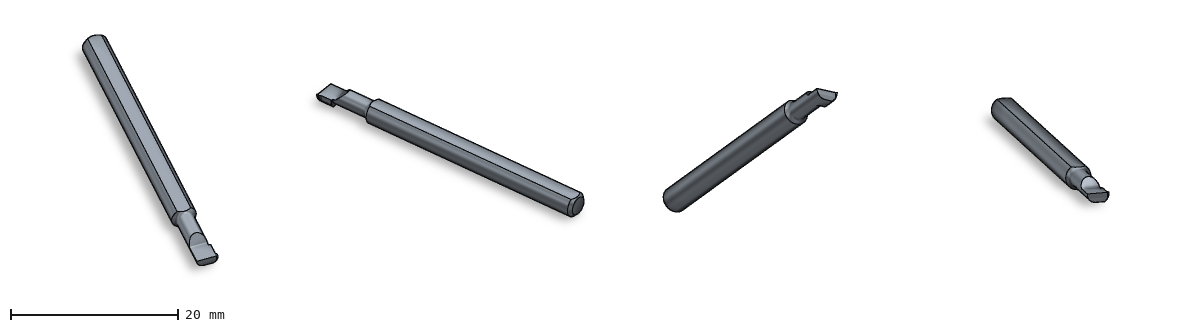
import cadquery as cq
import math

length = 38.1
shank_diameter = 3.15
shank_radius = shank_diameter / 2
height = 2.9
flat_height = height - shank_radius

shank_end = 30.65
back_chamfer = 0.42
neck_radius = 1.15
shoulder_radius = 0.6

rake_height = 0.05
rake_start = 35.62
rake_blend_radius = 0.57
head_start = 35.93
head_side = 1.4
head_step_chamfer = 0.08
tooth_length = 0.55
tooth_tip = 1.55
end_setback = 0.1
tip_width = 0.15
end_relief_angle = 10.0


def make_turned_body():
    """Chamfered shank, 45 degree shoulder blended into the neck, revolved about X."""
    diagonal = math.sqrt(0.5)
    arc_drop = shoulder_radius * (1 - diagonal)
    cone_drop = shank_radius - neck_radius - arc_drop
    cone_end = shank_end + cone_drop
    neck_start = cone_end + shoulder_radius * diagonal
    arc_center_height = neck_radius + shoulder_radius
    half_angle = math.radians(22.5)
    arc_middle = (
        neck_start - shoulder_radius * math.sin(half_angle),
        arc_center_height - shoulder_radius * math.cos(half_angle),
    )
    return (
        cq.Workplane("XZ")
        .moveTo(0, 0)
        .lineTo(0, shank_radius - back_chamfer)
        .lineTo(back_chamfer, shank_radius)
        .lineTo(shank_end, shank_radius)
        .lineTo(cone_end, neck_radius + arc_drop)
        .threePointArc(arc_middle, (neck_start, neck_radius))
        .lineTo(length, neck_radius)
        .lineTo(length, 0)
        .close()
        .revolve(360, (0, 0, 0), (1, 0, 0))
    )


def make_head():
    """Side-cutting head, kept inside the shank diameter and above the neck's underside."""
    outline = (
        cq.Workplane("XY", origin=(0, 0, -neck_radius))
        .moveTo(head_start, 0)
        .lineTo(head_start, head_side - head_step_chamfer)
        .lineTo(head_start + head_step_chamfer, head_side)
        .lineTo(length - tooth_length, head_side)
        .lineTo(length - tooth_length + tip_width, tooth_tip)
        .lineTo(length, tooth_tip)
        .lineTo(length, 0)
        .close()
        .extrude(neck_radius + rake_height)
    )
    envelope = cq.Workplane("YZ").circle(shank_radius).extrude(length)
    return outline.intersect(envelope)


def make_shank_flat_cut():
    """Material above the flat along the shank."""
    return cq.Workplane("XY", origin=(0, 0, flat_height)).rect(2 * length, 2 * height).extrude(height)


def make_rake_cut():
    """Material above the rake face, with a rounded 45 degree run-out toward the neck."""
    return (
        cq.Workplane("XZ")
        .moveTo(rake_start, rake_height)
        .lineTo(rake_start - height, rake_height + height)
        .lineTo(length + height, rake_height + height)
        .lineTo(length + height, rake_height)
        .close()
        .extrude(height, both=True)
        .edges(cq.selectors.NearestToPointSelector((rake_start, 0, rake_height)))
        .fillet(rake_blend_radius)
    )


def make_end_relief_cut():
    """Front face leaning back below the rake face."""
    setback = height * math.tan(math.radians(end_relief_angle))
    return (
        cq.Workplane("XZ")
        .moveTo(length, rake_height)
        .lineTo(length - setback, rake_height - height)
        .lineTo(length + height, rake_height - height)
        .lineTo(length + height, rake_height)
        .close()
        .extrude(height, both=True)
    )


def make_tip_trail_cut():
    """Front face falling away from the cutting tip in plan."""
    return (
        cq.Workplane("XY")
        .moveTo(length, tooth_tip)
        .lineTo(length - end_setback, tooth_tip - tip_width)
        .lineTo(length - end_setback, -height)
        .lineTo(length + height, -height)
        .lineTo(length + height, tooth_tip)
        .close()
        .extrude(height, both=True)
    )


result = (
    make_turned_body()
    .union(make_head())
    .cut(make_shank_flat_cut())
    .cut(make_rake_cut())
    .cut(make_end_relief_cut())
    .cut(make_tip_trail_cut())
)